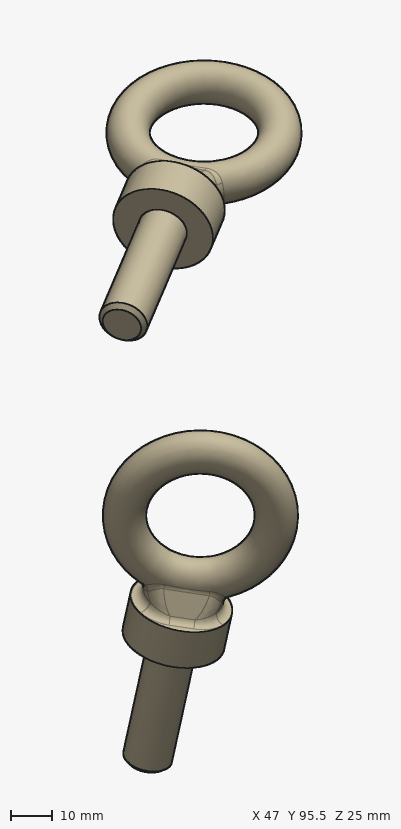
import cadquery as cq
import math

shank_diameter = 12.0
shank_length = 36.0
shank_chamfer = 1.2

collar_diameter = 25.0
collar_length = 10.5

ring_inner_diameter = 26.0
ring_wire_diameter = 10.5
ring_centre_height = 36.0

neck_diameter = 19.7
neck_height = 9.0
neck_flank_half_thickness = 9.2
neck_flank_angle = 29.0
neck_corner_radius = 4.0
ring_blend_radius = 2.0
root_fillet_radius = 2.4

neck_reach = (neck_diameter + collar_diameter) / 4


def make_rod(diameter, start, length):
    """Cylinder on the bolt axis, from Y = start to Y = start + length."""
    plane = cq.Plane(origin=(0, start, 0), xDir=(1, 0, 0), normal=(0, 1, 0))
    return cq.Workplane(plane).circle(diameter / 2).extrude(length)


def make_shank():
    shank = make_rod(shank_diameter, -shank_length, shank_length)
    return shank.faces("<Y").chamfer(shank_chamfer)


def make_ring():
    mean_radius = (ring_inner_diameter + ring_wire_diameter) / 2
    torus = cq.Solid.makeTorus(mean_radius, ring_wire_diameter / 2)
    return cq.Workplane(torus).translate((0, ring_centre_height, 0))


def make_neck():
    """Round neck cut by two flat flanks that lean in towards the ring."""
    lean = neck_height * math.tan(math.radians(neck_flank_angle))
    tip_half_thickness = neck_flank_half_thickness - lean
    neck_top = collar_length + neck_height
    wedge = (
        cq.Workplane("YZ")
        .moveTo(collar_length, -neck_flank_half_thickness)
        .lineTo(neck_top, -tip_half_thickness)
        .lineTo(neck_top, tip_half_thickness)
        .lineTo(collar_length, neck_flank_half_thickness)
        .close()
        .extrude(neck_diameter, both=True)
    )
    return make_rod(neck_diameter, collar_length, neck_height).intersect(wedge)


def neck_edges(bottom, top):
    """Selector for edges near the bolt axis that lie wholly between two heights."""
    return cq.selectors.BoxSelector(
        (-neck_reach, bottom, -neck_reach),
        (neck_reach, top, neck_reach),
        boundingbox=True,
    )


def round_neck(body):
    """Round the flank corners, then blend the neck into the ring and the collar."""
    margin = 0.1
    neck_top = collar_length + neck_height
    body = body.edges("%ELLIPSE").fillet(neck_corner_radius)
    body = body.edges(neck_edges(collar_length + margin, neck_top)).fillet(ring_blend_radius)
    root = neck_edges(collar_length - margin, collar_length + margin)
    return body.edges(root).fillet(root_fillet_radius)


def make_eye_bolt():
    collar = make_rod(collar_diameter, 0, collar_length)
    head = round_neck(collar.union(make_neck()).union(make_ring()))
    return head.union(make_shank())


result = make_eye_bolt()